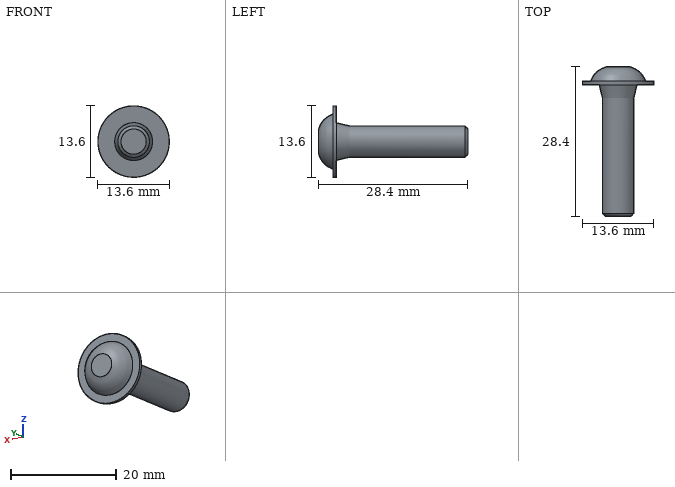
import cadquery as cq

shank_diameter = 6.0
flange_diameter = 13.6
overall_length = 28.45
length_under_flange = 25.0
flange_thickness = 0.7
dome_base_diameter = 10.5
dome_top_diameter = 4.5
dome_arc_radius = 4.4
neck_diameter = 7.2
neck_length = 2.5
tip_chamfer = 0.6

tip_y = -length_under_flange
chamfer_y = tip_y + tip_chamfer
head_top_y = overall_length - length_under_flange

shank_radius = shank_diameter / 2
tip_radius = shank_radius - tip_chamfer
neck_radius = neck_diameter / 2
flange_radius = flange_diameter / 2
dome_base_radius = dome_base_diameter / 2
dome_top_radius = dome_top_diameter / 2


def make_screw():
    """Revolve the half profile (radius, Y) about the Y axis."""
    return (
        cq.Workplane("XY")
        .moveTo(0, tip_y)
        .lineTo(tip_radius, tip_y)
        .lineTo(shank_radius, chamfer_y)
        .lineTo(shank_radius, -neck_length)
        .lineTo(neck_radius, 0)
        .lineTo(flange_radius, 0)
        .lineTo(flange_radius, flange_thickness)
        .lineTo(dome_base_radius, flange_thickness)
        .radiusArc((dome_top_radius, head_top_y), -dome_arc_radius)
        .lineTo(0, head_top_y)
        .close()
        .revolve(360, (0, 0, 0), (0, 1, 0))
    )


result = make_screw()